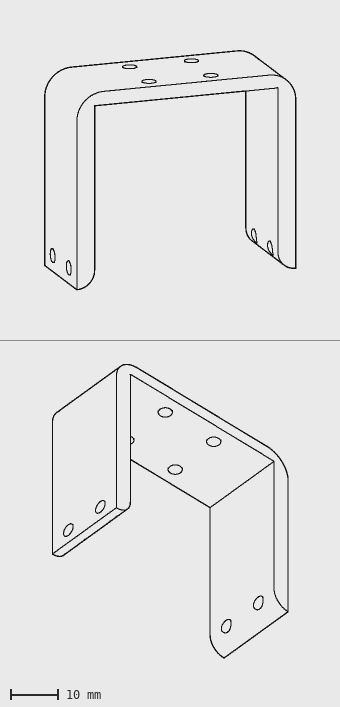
import cadquery as cq

width = 20.0
length = 49.0
height = 42.85

top_thickness = 3.0
leg_thickness = 4.0
outer_radius = 6.0
foot_radius = 3.9

hole_diameter = 3.0
top_hole_spacing_x = 12.0
top_hole_spacing_y = 13.8
leg_hole_spacing = 10.0
leg_hole_height = 3.5


def make_bracket():
    """Rounded block, opened from below to leave a top plate and two legs."""
    block = cq.Workplane("XY").box(width, length, height, centered=(True, True, False))
    block = block.edges("|X and >Z").fillet(outer_radius)
    opening = cq.Workplane("XY").box(
        width,
        length - 2 * leg_thickness,
        height - top_thickness,
        centered=(True, True, False),
    )
    bracket = block.cut(opening)
    mid_leg = length / 2 - leg_thickness / 2
    inner_feet = cq.selectors.BoxSelector(
        (-width, -mid_leg, -foot_radius), (width, mid_leg, foot_radius)
    )
    return bracket.edges("|X").edges(inner_feet).fillet(foot_radius)


def top_holes():
    """Four vertical holes through the top plate."""
    return (
        cq.Workplane("XY")
        .workplane(offset=height - top_thickness)
        .rarray(top_hole_spacing_x, top_hole_spacing_y, 2, 2)
        .circle(hole_diameter / 2)
        .extrude(top_thickness)
    )


def leg_holes():
    """Two holes near the feet, each passing through both legs."""
    return (
        cq.Workplane("XZ")
        .center(0, leg_hole_height)
        .rarray(leg_hole_spacing, 0.5, 2, 1)
        .circle(hole_diameter / 2)
        .extrude(length / 2, both=True)
    )


result = make_bracket().cut(top_holes()).cut(leg_holes())